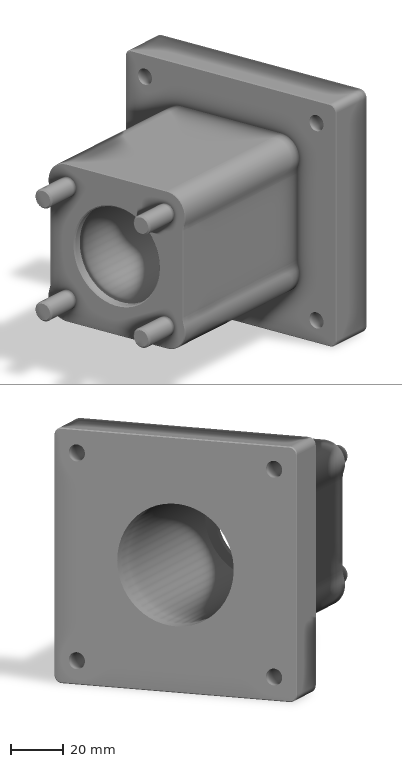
import cadquery as cq
import math

PLATE_SIDE = 100.0
PLATE_THICKNESS = 20.0
PLATE_CORNER_RADIUS = 3.0
PLATE_EDGE_CHAMFER = 0.4
PLATE_HOLE_SPACING = 81.3
PLATE_HOLE_DIAMETER = 6.65

BODY_SIDE = 65.0
BODY_LENGTH = 74.0
BODY_CORNER_RADIUS = 8.75
BODY_EDGE_CHAMFER = 0.3
SIDE_RELIEF_DEPTH = 1.0

BORE_DIAMETER = 48.0
LIP_DIAMETER = 40.0
LIP_LENGTH = 3.4
LIP_CHAMFER = 0.5

PIN_DIAMETER = 8.0
PIN_LENGTH = 16.0
PIN_TIP_DIAMETER = 6.65
PIN_SPACING = 46.5

BODY_FRONT = -(PLATE_THICKNESS + BODY_LENGTH)


def section_at(y):
    """XZ workplane at the given Y; extrusion runs towards -Y."""
    return cq.Workplane("XZ", origin=(0, y, 0))


def square_pattern(spacing):
    """Corners of a centred square with the given side."""
    offset = spacing / 2
    return [(x, z) for x in (-offset, offset) for z in (-offset, offset)]


def make_plate():
    plate = section_at(0).rect(PLATE_SIDE, PLATE_SIDE).extrude(PLATE_THICKNESS)
    plate = plate.edges("|Y").fillet(PLATE_CORNER_RADIUS)
    plate = plate.faces("<Y or >Y").chamfer(PLATE_EDGE_CHAMFER)
    holes = section_at(0).pushPoints(square_pattern(PLATE_HOLE_SPACING))
    return plate.cut(holes.circle(PLATE_HOLE_DIAMETER / 2).extrude(PLATE_THICKNESS))


def make_body():
    """Rounded square with both X sides relieved, blended into the corners by equal tangent arcs."""
    radius = BODY_CORNER_RADIUS
    half = BODY_SIDE / 2
    center = half - radius
    blend_angle = math.acos(1 - SIDE_RELIEF_DEPTH / (2 * radius))
    floor_x = half - SIDE_RELIEF_DEPTH
    concave_x = floor_x + radius
    concave_z = center - 2 * radius * math.sin(blend_angle)

    def corner_point(angle):
        return center + radius * math.cos(angle), center + radius * math.sin(angle)

    def concave_point(angle):
        return concave_x - radius * math.cos(angle), concave_z + radius * math.sin(angle)

    quarter = (
        section_at(-PLATE_THICKNESS)
        .moveTo(0, half)
        .lineTo(center, half)
        .threePointArc(corner_point(math.pi / 4), corner_point(-blend_angle))
        .threePointArc(concave_point(blend_angle / 2), concave_point(0))
        .lineTo(floor_x, 0)
    )
    body = quarter.mirrorX().mirrorY().extrude(BODY_LENGTH)
    return body.faces("<Y").chamfer(BODY_EDGE_CHAMFER)


def make_bore():
    """Revolved cutter for the wide bore, the front lip and the lip's chamfer."""
    lip_radius = LIP_DIAMETER / 2
    lip_rear = BODY_FRONT + LIP_LENGTH
    profile = [
        (0, 0),
        (BORE_DIAMETER / 2, 0),
        (BORE_DIAMETER / 2, lip_rear),
        (lip_radius, lip_rear),
        (lip_radius, BODY_FRONT + LIP_CHAMFER),
        (lip_radius + LIP_CHAMFER, BODY_FRONT),
        (0, BODY_FRONT),
    ]
    return cq.Workplane("XY").polyline(profile).close().revolve(360, (0, 0), (0, 1))


def make_pins():
    tip_chamfer = (PIN_DIAMETER - PIN_TIP_DIAMETER) / 2
    pins = section_at(BODY_FRONT).pushPoints(square_pattern(PIN_SPACING))
    pins = pins.circle(PIN_DIAMETER / 2).extrude(PIN_LENGTH)
    return pins.faces("<Y").chamfer(tip_chamfer)


result = make_plate().union(make_body()).cut(make_bore()).union(make_pins())